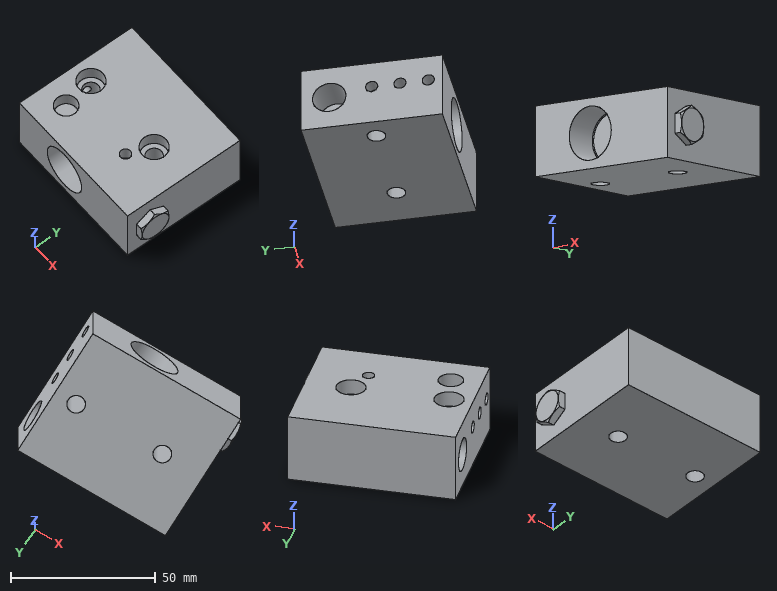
import cadquery as cq
import math

overall_length = 63.0
block_length = 60.0
block_width = 50.0
block_height = 25.0
mid_width = block_width / 2
mid_height = block_height / 2

mount_xs = (8.5, 43.5)
mount_diameter = 6.4
counterbore_diameter = 10.4
counterbore_depth = 5.7

plug_x, plug_y = 11.0, 12.0
plug_diameter = 8.8
plug_recess_depth = 5.6
pin_x, pin_y = 39.5, 15.5
pin_diameter = 4.2
pin_depth = 5.7

bore_x = 25.0
bore_diameter = 19.0
bore_floor_diameter = 18.4
bore_depth = 12.7
bore_floor_chamfer = (bore_diameter - bore_floor_diameter) / 2

port_y = 40.0
port_diameter = 11.8
port_floor_diameter = 6.8
port_recess_diameter = 5.0
port_depth = 12.6
port_recess_depth = 0.3

drill_diameter = 4.2
drill_z = 15.05
drill_spacing = 10.0
drill_first_y = 5.0
outer_drill_depth = 10.1
plugged_drill_depth = 15.1
mount_drill_depth = mount_xs[0]
drill_point_angle = 118.0
point_slope = math.tan(math.radians(drill_point_angle / 2))

hex_y = 10.0
hex_across_flats = 12.0
hex_across_corners = hex_across_flats / math.cos(math.radians(30))
hex_end_diameter = 11.8
hex_chamfer_angle = 30.0
hex_height = overall_length - block_length


def revolve_about_x(profile, y, z):
    """Turn (x, radius) points about an X-parallel axis through (y, z)."""
    axial_section = cq.Workplane("XY").polyline(profile).close()
    return axial_section.revolve(360, (0, 0), (1, 0)).translate((0, y, z))


def top_hole(x, y, diameter, depth):
    top_plane = cq.Workplane("XY", origin=(x, y, block_height))
    return top_plane.circle(diameter / 2).extrude(-depth)


def pointed_drilling(y, depth):
    radius = drill_diameter / 2
    tip_x = depth + radius / point_slope
    profile = [(0, 0), (0, radius), (depth, radius), (tip_x, 0)]
    return revolve_about_x(profile, y, drill_z)


def port():
    radius = port_diameter / 2
    floor_radius = port_floor_diameter / 2
    recess_radius = port_recess_diameter / 2
    floor_x = port_depth + (radius - floor_radius) / point_slope
    recess_x = floor_x + port_recess_depth
    profile = [
        (0, 0),
        (0, radius),
        (port_depth, radius),
        (floor_x, floor_radius),
        (floor_x, recess_radius),
        (recess_x, recess_radius),
        (recess_x, 0),
    ]
    return revolve_about_x(profile, port_y, mid_height)


def front_bore():
    front_plane = cq.Workplane("XZ", origin=(bore_x, 0, mid_height))
    bore = front_plane.circle(bore_diameter / 2).extrude(-bore_depth)
    return bore.faces(">Y").chamfer(bore_floor_chamfer)


def hex_head():
    side_plane = cq.Workplane("YZ", origin=(block_length, hex_y, mid_height))
    prism = side_plane.transformed(rotate=(0, 0, 30)).polygon(6, hex_across_corners).extrude(hex_height)
    corner_radius = hex_across_corners / 2
    end_radius = hex_end_diameter / 2
    chamfer_length = (corner_radius - end_radius) * math.tan(math.radians(hex_chamfer_angle))
    envelope = [
        (block_length, 0),
        (block_length, corner_radius),
        (overall_length - chamfer_length, corner_radius),
        (overall_length, end_radius),
        (overall_length, 0),
    ]
    return prism.intersect(revolve_about_x(envelope, hex_y, mid_height))


result = cq.Workplane("XY").box(block_length, block_width, block_height, centered=False)

for mount_x in mount_xs:
    result = result.cut(top_hole(mount_x, mid_width, mount_diameter, block_height))
    result = result.cut(top_hole(mount_x, mid_width, counterbore_diameter, counterbore_depth))

plug = top_hole(plug_x, plug_y, plug_diameter, block_height)
middle_y = drill_first_y + drill_spacing
inner_y = middle_y + drill_spacing
result = result.cut(pointed_drilling(drill_first_y, outer_drill_depth))
result = result.cut(pointed_drilling(middle_y, plugged_drill_depth).cut(plug))
result = result.cut(pointed_drilling(inner_y, mount_drill_depth))

result = result.cut(top_hole(plug_x, plug_y, plug_diameter, plug_recess_depth))
result = result.cut(top_hole(pin_x, pin_y, pin_diameter, pin_depth))
result = result.cut(front_bore())
result = result.cut(port())
result = result.union(hex_head())